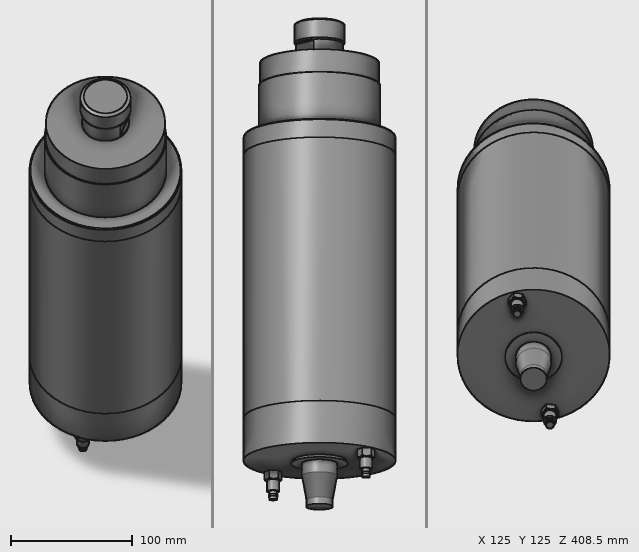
import cadquery as cq
import math

NUT_TOP = 408.5
NUT_BOTTOM = 390.5
FLATS_TOP = 389.7
FLATS_BOTTOM = 376.2
NOSE_TOP = 374.5
NOSE_STEP = 355.5
SHOULDER = 313.0
FRONT_COVER_BOTTOM = 297.0
REAR_COVER_TOP = 74.5
REAR_FACE = 39.0
CONNECTOR_FLANGE_BOTTOM = 36.5
TAPER_TOP = 26.0
TAPER_BOTTOM = 5.7
CONNECTOR_TIP = 0.0

BODY_DIAMETER = 125.0
NOSE_DIAMETER = 100.0
NOSE_CAP_DIAMETER = 98.0
SHOULDER_CHAMFER = 1.0

NUT_DIAMETER = 41.3
NUT_CHAMFER_WIDTH = 3.0
NUT_CHAMFER_HEIGHT = 1.5
NECK_DIAMETER = 39.0
FLATS_WIDTH = 33.0

CONNECTOR_FLANGE_TOP_DIAMETER = 44.0
CONNECTOR_FLANGE_DIAMETER = 46.5
CONNECTOR_DIAMETER = 29.0
CONNECTOR_TIP_DIAMETER = 21.5

FITTING_OFFSET = 54.5
HEX_ACROSS_FLATS = 12.5
HEX_ROTATION = 20.0
HEX_BOTTOM = 31.5
HEX_CHAMFER = 1.2
COLLAR_DIAMETER = 10.2
COLLAR_BOTTOM = 22.5
STEM_DIAMETER = 6.5
STEM_BOTTOM = 15.5
BEAD_DIAMETER = 7.5
BEAD_TOP = 19.5
BEAD_BOTTOM = 18.0


def disc(diameter, bottom, top):
    """Solid cylinder on the Z axis between two heights."""
    return cq.Workplane("XY").workplane(offset=bottom).circle(diameter / 2).extrude(top - bottom)


def revolved(profile):
    """Turn a closed (radius, height) outline about the Z axis."""
    return cq.Workplane("XZ").polyline(profile).close().revolve(360, (0, 0, 0), (0, 1, 0))


def make_spindle_end():
    """Neck with two wrench flats facing -X and +X, carrying a chamfered nut."""
    nut_radius = NUT_DIAMETER / 2
    neck_radius = NECK_DIAMETER / 2
    spindle_end = revolved([
        (0, NOSE_TOP),
        (neck_radius, NOSE_TOP),
        (neck_radius, NUT_BOTTOM),
        (nut_radius, NUT_BOTTOM + nut_radius - neck_radius),
        (nut_radius, NUT_TOP - NUT_CHAMFER_HEIGHT),
        (nut_radius - NUT_CHAMFER_WIDTH, NUT_TOP),
        (0, NUT_TOP),
    ])
    flats_height = FLATS_TOP - FLATS_BOTTOM
    for side in (-1, 1):
        cutter = (
            cq.Workplane("XY")
            .box(NECK_DIAMETER, NECK_DIAMETER, flats_height, centered=(True, True, False))
            .translate((side * (FLATS_WIDTH + NECK_DIAMETER) / 2, 0, FLATS_BOTTOM))
        )
        spindle_end = spindle_end.cut(cutter)
    return spindle_end


def make_front_cover():
    """Chamfered flange, stepped nose and spindle end in one piece."""
    flange = disc(BODY_DIAMETER, FRONT_COVER_BOTTOM, SHOULDER).faces(">Z").chamfer(SHOULDER_CHAMFER)
    nose = disc(NOSE_DIAMETER, SHOULDER, NOSE_STEP)
    cap = disc(NOSE_CAP_DIAMETER, NOSE_STEP, NOSE_TOP)
    return flange.union(nose).union(cap).union(make_spindle_end())


def make_tube():
    return disc(BODY_DIAMETER, REAR_COVER_TOP, FRONT_COVER_BOTTOM)


def make_rear_cover():
    return disc(BODY_DIAMETER, REAR_FACE, REAR_COVER_TOP)


def make_connector():
    """Thin flared flange, then a round body tapering to a straight tip."""
    return revolved([
        (0, REAR_FACE),
        (CONNECTOR_FLANGE_TOP_DIAMETER / 2, REAR_FACE),
        (CONNECTOR_FLANGE_DIAMETER / 2, CONNECTOR_FLANGE_BOTTOM),
        (CONNECTOR_DIAMETER / 2, CONNECTOR_FLANGE_BOTTOM),
        (CONNECTOR_DIAMETER / 2, TAPER_TOP),
        (CONNECTOR_TIP_DIAMETER / 2, TAPER_BOTTOM),
        (CONNECTOR_TIP_DIAMETER / 2, CONNECTOR_TIP),
        (0, CONNECTOR_TIP),
    ])


def make_hexagon():
    """Hexagonal head whose lower corners are turned down to a cone."""
    hex_corner_diameter = HEX_ACROSS_FLATS / math.cos(math.pi / 6)
    prism = (
        cq.Workplane("XY")
        .workplane(offset=HEX_BOTTOM)
        .polygon(6, hex_corner_diameter)
        .extrude(REAR_FACE - HEX_BOTTOM)
        .rotate((0, 0, 0), (0, 0, 1), HEX_ROTATION)
    )
    turned_blank = disc(hex_corner_diameter, HEX_BOTTOM, REAR_FACE).faces("<Z").chamfer(HEX_CHAMFER)
    return prism.intersect(turned_blank)


def make_fitting(y):
    """Hose fitting hanging from the rear face: hexagon, collar and beaded stem."""
    collar = disc(COLLAR_DIAMETER, COLLAR_BOTTOM, HEX_BOTTOM)
    stem = disc(STEM_DIAMETER, STEM_BOTTOM, COLLAR_BOTTOM)
    bead = disc(BEAD_DIAMETER, BEAD_BOTTOM, BEAD_TOP)
    return make_hexagon().union(collar).union(stem).union(bead).translate((0, y, 0))


front_cover = make_front_cover()
tube = make_tube()
rear_cover = make_rear_cover()
connector = make_connector()
fittings = [make_fitting(side * FITTING_OFFSET) for side in (-1, 1)]

result = cq.Compound.makeCompound([
    front_cover.val(),
    tube.val(),
    rear_cover.val(),
    connector.val(),
    *[fitting.val() for fitting in fittings],
])